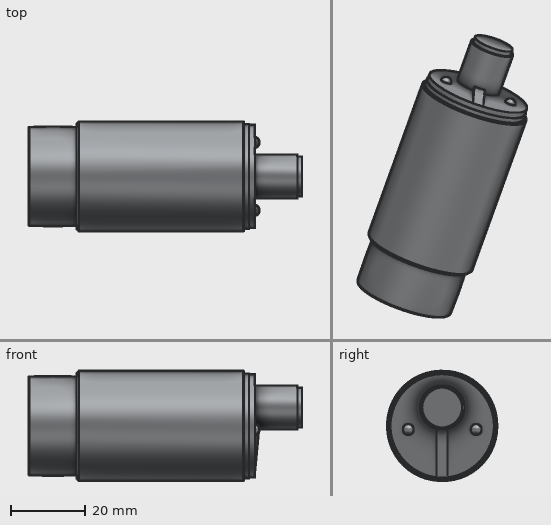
import cadquery as cq
import math

total_length = 73.9
body_radius = 14.89
body_start = 13.0
body_end = 58.2
front_chamfer = 0.75
rear_chamfer = 0.3

head_face_radius = 13.1
head_edge_radius = 13.4
head_crown_radius = 13.5
head_root_radius = 13.4
head_edge_length = 0.3

collar_radius = 14.2
collar_end = 59.6
cap_radius = 14.0
cap_end = 61.1

outlet_radius = 6.0
outlet_height = 4.95
tip_radius = 5.4
tip_length = 1.3

dome_radius = 1.5
dome_rise = 1.25
dome_offset = 9.2
dome_height = -0.95
rib_width = 2.95
rib_top = 0.0
rib_bottom = -13.3
root_overlap = 0.75


def barrel():
    """Head, body, collar and cap as one turned profile."""
    head_middle = (head_edge_length + body_start) / 2
    profile = (
        cq.Workplane("XY")
        .lineTo(0, head_face_radius)
        .lineTo(head_edge_length, head_edge_radius)
        .spline(
            [(head_middle, head_crown_radius), (body_start, head_root_radius)],
            includeCurrent=True,
        )
        .lineTo(body_start, body_radius - front_chamfer)
        .lineTo(body_start + front_chamfer, body_radius)
        .lineTo(body_end - rear_chamfer, body_radius)
        .lineTo(body_end, body_radius - rear_chamfer)
        .lineTo(body_end, collar_radius)
        .lineTo(collar_end, collar_radius)
        .lineTo(collar_end, cap_radius)
        .lineTo(cap_end, cap_radius)
        .lineTo(cap_end, 0)
        .close()
    )
    return profile.revolve(360, (0, 0, 0), (1, 0, 0))


def outlet_cylinder(radius, end):
    """Round outlet section running from inside the cap to the given X."""
    start = cap_end - root_overlap
    return (
        cq.Workplane("YZ", origin=(start, 0, outlet_height))
        .circle(radius)
        .extrude(end - start)
    )


def dome(y):
    """Spherical cap on the rear face, with a round root sunk in the cap."""
    sphere_radius = (dome_radius**2 + dome_rise**2) / (2 * dome_rise)
    arc_middle = (
        dome_rise - sphere_radius + math.sqrt(sphere_radius**2 - (dome_radius / 2) ** 2),
        dome_radius / 2,
    )
    return (
        cq.Workplane("XY", origin=(cap_end, y, dome_height))
        .moveTo(-root_overlap, 0)
        .lineTo(-root_overlap, dome_radius)
        .lineTo(0, dome_radius)
        .threePointArc(arc_middle, (dome_rise, 0))
        .close()
        .revolve(360, (0, 0, 0), (1, 0, 0))
    )


def rib():
    """Central wedge under the outlet, fading into the rear face."""
    return (
        cq.Workplane("XZ")
        .moveTo(cap_end - root_overlap, rib_top)
        .lineTo(cap_end + dome_rise, rib_top)
        .lineTo(cap_end, rib_bottom)
        .lineTo(cap_end - root_overlap, rib_bottom)
        .close()
        .extrude(rib_width / 2, both=True)
    )


result = barrel()
result = result.union(outlet_cylinder(outlet_radius, total_length - tip_length))
result = result.union(outlet_cylinder(tip_radius, total_length))
for side in (-1, 1):
    result = result.union(dome(side * dome_offset))
result = result.union(rib())